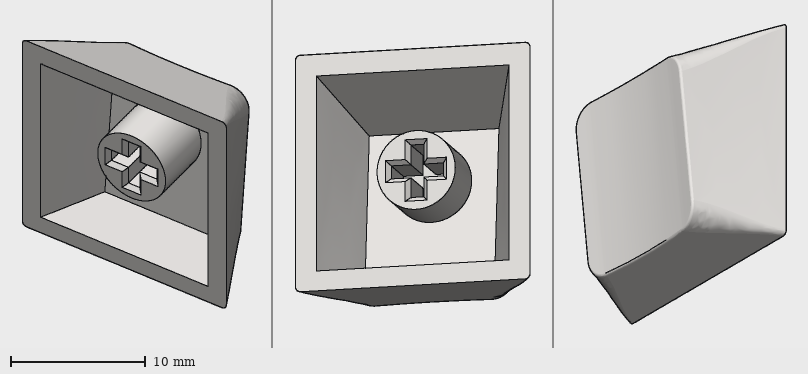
import cadquery as cq
import math

rim_size = 18.0
rim_corner = 0.4

top_width = 12.06
top_corner = 1.8
top_upper_y = 8.0
top_upper_z = 5.08
top_lower_y = 6.46
top_lower_z = -rim_size / 2
dish_sag = 0.49
top_edge_round = 0.22
body_steps = 4

mouth_width = 14.76
mouth_upper_z = 7.35
mouth_lower_z = -7.49
floor_width = 9.94
floor_upper_z = 4.03
floor_upper_y = 6.3

stem_diameter = 6.0
stem_face_y = 1.0
socket_span = 4.68
socket_arm = 1.67
socket_inset = 0.35
socket_chamfer_depth = 0.35
socket_depth = 3.96

tilt_slope = (top_upper_y - top_lower_y) / (top_upper_z - top_lower_z)
tilt = math.atan(tilt_slope)
top_mid_y = (top_upper_y + top_lower_y) / 2
top_mid_z = (top_upper_z + top_lower_z) / 2


def facing_plane(y, z, slope_angle=0.0):
    """Plane at (0, y, z) with local x along X and local y up, leaning towards +Y."""
    normal = (0, -math.cos(slope_angle), math.sin(slope_angle))
    return cq.Plane(origin=(0, y, z), xDir=(1, 0, 0), normal=normal)


def ruled_loft(first_outline, second_outline):
    return cq.Workplane(cq.Solid.makeLoft([first_outline, second_outline], True))


def outline_wire(plane, width, height, corner=0.0):
    """Rectangle wire, with rounded corners where a corner radius is given."""
    block = cq.Workplane(plane).rect(width, height).extrude(0.18)
    if corner:
        block = block.edges(cq.selectors.ParallelDirSelector(plane.zDir)).fillet(corner)
    return block.faces(cq.selectors.DirectionMinMaxSelector(plane.zDir, False)).wires().val()


def body_section(fraction):
    """Outline between the rim (fraction 0) and the top (fraction 1).

    The walls run straight; the corner radius eases in and out along an S-curve.
    """
    upper_y = fraction * top_upper_y
    lower_y = fraction * top_lower_y
    upper_z = rim_size / 2 + fraction * (top_upper_z - rim_size / 2)
    lower_z = -rim_size / 2 + fraction * (top_lower_z + rim_size / 2)
    width = rim_size + fraction * (top_width - rim_size)
    ease = fraction**2 * (3 - 2 * fraction)
    corner = rim_corner + ease * (top_corner - rim_corner)
    lean = math.atan2(upper_y - lower_y, upper_z - lower_z)
    length = math.hypot(upper_y - lower_y, upper_z - lower_z)
    plane = facing_plane((upper_y + lower_y) / 2, (upper_z + lower_z) / 2, lean)
    return outline_wire(plane, width, length, corner)


def make_body():
    sections = [body_section(step / body_steps) for step in range(body_steps + 1)]
    body = cq.Workplane(cq.Solid.makeLoft(sections))

    half_width = top_width / 2
    dish_radius = (half_width**2 + dish_sag**2) / (2 * dish_sag)
    axis = cq.Vector(0, math.sin(tilt), math.cos(tilt))
    outward = cq.Vector(0, math.cos(tilt), -math.sin(tilt))
    centre = cq.Vector(0, top_mid_y, top_mid_z) + outward * (dish_radius - dish_sag)
    dish = cq.Solid.makeCylinder(dish_radius, 2 * rim_size, centre - axis * rim_size, axis)
    body = body.cut(cq.Workplane(dish))
    return body.faces(">Y").edges().fillet(top_edge_round)


def make_cavity():
    floor_mid_z = (floor_upper_z + mouth_lower_z) / 2
    floor_mid_y = floor_upper_y - tilt_slope * (floor_upper_z - floor_mid_z)
    floor_length = (floor_upper_z - mouth_lower_z) / math.cos(tilt)
    mouth_mid_z = (mouth_upper_z + mouth_lower_z) / 2
    mouth_length = mouth_upper_z - mouth_lower_z
    mouth = outline_wire(facing_plane(0, mouth_mid_z), mouth_width, mouth_length)
    floor = outline_wire(facing_plane(floor_mid_y, floor_mid_z, tilt), floor_width, floor_length)
    return ruled_loft(mouth, floor)


def make_stem():
    length = floor_upper_y - stem_face_y
    return cq.Workplane(facing_plane(stem_face_y, 0)).circle(stem_diameter / 2).extrude(-length)


def cross_wire(y, inset):
    span = socket_span - 2 * inset
    arm = socket_arm - 2 * inset
    end = span / 2
    side = arm / 2
    quarter = [(end, -side), (end, side), (side, side)]
    points = []
    for _ in range(4):
        points += quarter
        quarter = [(-z, x) for x, z in quarter]
    return cq.Workplane(facing_plane(y, 0)).polyline(points).close()


def make_socket():
    neck_y = stem_face_y + socket_chamfer_depth
    mouth = cross_wire(stem_face_y, 0).wires().val()
    neck = cross_wire(neck_y, socket_inset).wires().val()
    lead_in = ruled_loft(mouth, neck)
    shaft = cross_wire(neck_y, socket_inset).extrude(socket_chamfer_depth - socket_depth)
    return lead_in.union(shaft)


result = make_body().cut(make_cavity()).union(make_stem()).cut(make_socket())